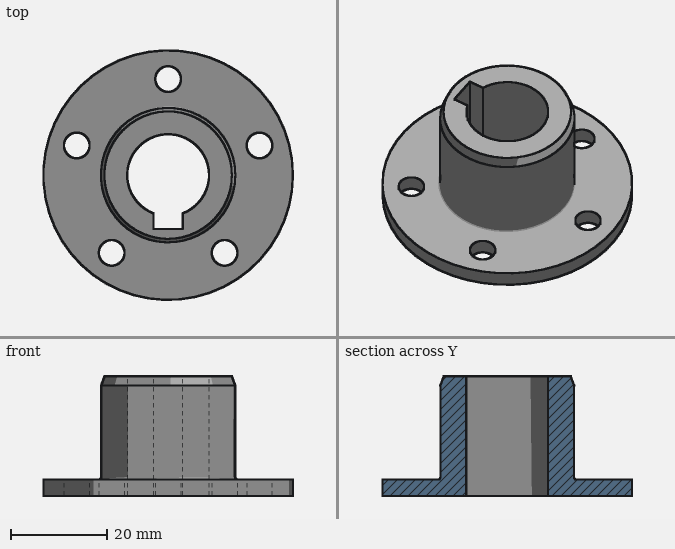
import cadquery as cq
import math

flange_diameter = 52.0
flange_thickness = 3.5

total_height = 25.0
hub_diameter = 28.0
hub_root_fillet = 0.4
lead_in_height = 2.0
lead_in_angle = 20.0

bore_diameter = 17.0
keyway_width = 6.0
keyway_floor_distance = 11.2

bolt_hole_count = 5
bolt_hole_diameter = 5.3
bolt_circle_diameter = 40.0
first_bolt_angle = 90.0


def make_flanged_hub():
    """Revolve the solid flange and hub, with its root fillet and tapered lead-in."""
    flange_radius = flange_diameter / 2
    hub_radius = hub_diameter / 2
    top_radius = hub_radius - lead_in_height * math.tan(math.radians(lead_in_angle))

    fillet_center_radius = hub_radius + hub_root_fillet
    fillet_center_height = flange_thickness + hub_root_fillet
    fillet_mid_offset = hub_root_fillet * math.sqrt(0.5)
    fillet_mid = (
        fillet_center_radius - fillet_mid_offset,
        fillet_center_height - fillet_mid_offset,
    )

    return (
        cq.Workplane("XZ")
        .lineTo(flange_radius, 0)
        .lineTo(flange_radius, flange_thickness)
        .lineTo(fillet_center_radius, flange_thickness)
        .threePointArc(fillet_mid, (hub_radius, fillet_center_height))
        .lineTo(hub_radius, total_height - lead_in_height)
        .lineTo(top_radius, total_height)
        .lineTo(0, total_height)
        .close()
        .revolve(360, (0, 0), (0, 1))
    )


def make_keyed_bore():
    """Through bore with a rectangular keyway on the -Y side."""
    bore = cq.Workplane("XY").circle(bore_diameter / 2).extrude(total_height)
    keyway = (
        cq.Workplane("XY")
        .center(0, -keyway_floor_distance / 2)
        .rect(keyway_width, keyway_floor_distance)
        .extrude(total_height)
    )
    return bore.union(keyway)


def make_bolt_holes():
    """Evenly spaced through holes in the flange."""
    return (
        cq.Workplane("XY")
        .polarArray(bolt_circle_diameter / 2, first_bolt_angle, 360, bolt_hole_count)
        .circle(bolt_hole_diameter / 2)
        .extrude(flange_thickness)
    )


result = make_flanged_hub().cut(make_keyed_bore()).cut(make_bolt_holes())